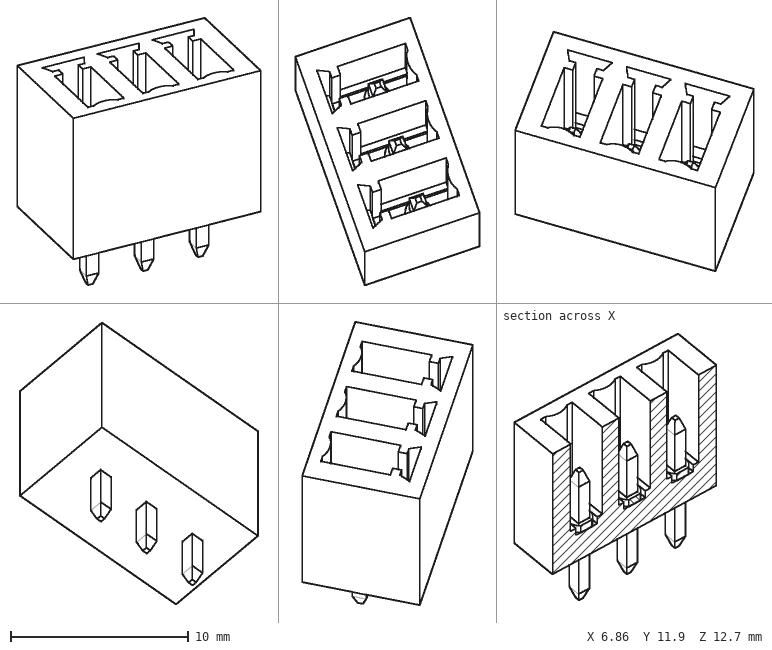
import cadquery as cq


total_height = 12.7
pin_drop = 3.58
housing_length_x = 6.86
housing_length_y = 11.91
housing_height = total_height - pin_drop

contact_count = 3
pitch = 3.49
pin_x = 0.64
contact_ys = [(i - (contact_count - 1) / 2) * pitch for i in range(contact_count)]

keyway_back_x = -2.54
keyway_front_x = -1.89
keyway_back_width = 2.64
keyway_front_width = 2.03
neck_width = 1.26
cavity_start_x = -1.37
cavity_end_x = 2.68
cavity_width = 2.29
bulge_width = 1.54
bulge_depth = 0.23

floor_z = 2.03
ledge_height = 0.51
ledge_z = floor_z + ledge_height

pin_width_x = 0.84
pin_width_y = 0.8
pin_tip_width = 0.3
pin_taper = 0.79
pin_top_below_rim = 3.05
pin_top_z = housing_height - pin_top_below_rim

collar_diameter = 1.52
collar_height = ledge_height


def make_keyway(y):
    """Dovetail keyway, down to the ledge level."""
    half_back = keyway_back_width / 2
    half_front = keyway_front_width / 2
    return (
        cq.Workplane("XY", origin=(0, y, ledge_z))
        .moveTo(keyway_back_x, -half_back)
        .lineTo(keyway_front_x, -half_front)
        .lineTo(keyway_front_x, half_front)
        .lineTo(keyway_back_x, half_back)
        .close()
        .extrude(housing_height - ledge_z)
    )


def make_slot(y, start_x, width, bottom_z):
    """Slot that ends in a wall bulging into the cavity."""
    half_width = width / 2
    half_bulge = bulge_width / 2
    slot = (
        cq.Workplane("XY", origin=(0, y, bottom_z))
        .moveTo(start_x, -half_width)
        .lineTo(cavity_end_x, -half_width)
        .lineTo(cavity_end_x, half_width)
        .lineTo(start_x, half_width)
        .close()
        .extrude(housing_height - bottom_z)
    )
    bulge = (
        cq.Workplane("XY", origin=(0, y, bottom_z))
        .moveTo(cavity_end_x, -half_bulge)
        .threePointArc((cavity_end_x - bulge_depth, 0), (cavity_end_x, half_bulge))
        .close()
        .extrude(housing_height - bottom_z)
    )
    return slot.cut(bulge)


def make_neck(y):
    """Narrow passage that joins the keyway to the cavity."""
    return cq.Workplane("XY", origin=(keyway_front_x, y, floor_z)).box(
        cavity_start_x - keyway_front_x,
        neck_width,
        housing_height - floor_z,
        centered=(False, True, False),
    )


def make_pin(y):
    """Square pin, tapered to a small flat at both ends."""
    shank_bottom_z = pin_taper - pin_drop
    shank_top_z = pin_top_z - pin_taper
    pin = (
        cq.Workplane("XY", origin=(pin_x, y, shank_bottom_z))
        .rect(pin_width_x, pin_width_y)
        .extrude(shank_top_z - shank_bottom_z)
    )
    for end_z, taper in ((shank_bottom_z, -pin_taper), (shank_top_z, pin_taper)):
        tip = (
            cq.Workplane("XY", origin=(pin_x, y, end_z))
            .rect(pin_width_x, pin_width_y)
            .workplane(offset=taper)
            .rect(pin_tip_width, pin_tip_width)
            .loft(ruled=True)
        )
        pin = pin.union(tip)
    return pin


def make_collar(y, pin):
    """Round collar on the cavity floor, with a square hole for its pin."""
    return (
        cq.Workplane("XY", origin=(pin_x, y, floor_z))
        .circle(collar_diameter / 2)
        .extrude(collar_height)
        .cut(pin)
    )


def make_housing(pins):
    """Rectangular block with a stepped cavity and a pin hole at each contact."""
    housing = cq.Workplane("XY").box(
        housing_length_x, housing_length_y, housing_height, centered=(True, True, False)
    )
    for y, pin in zip(contact_ys, pins):
        housing = (
            housing.cut(make_keyway(y))
            .cut(make_neck(y))
            .cut(make_slot(y, cavity_start_x, cavity_width, ledge_z))
            .cut(make_slot(y, cavity_start_x, bulge_width, floor_z))
            .cut(pin)
        )
    return housing


pins = [make_pin(y) for y in contact_ys]
collars = [make_collar(y, pin) for y, pin in zip(contact_ys, pins)]
housing = make_housing(pins)

result = cq.Compound.makeCompound(
    [housing.val()] + [body.val() for body in pins + collars]
)